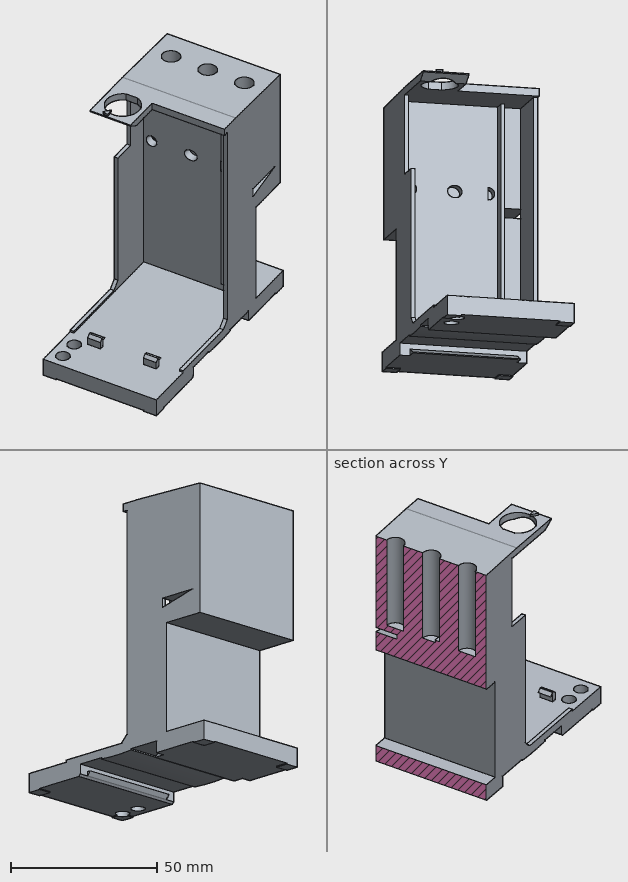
import cadquery as cq

width = 45.0
length = 85.0
height = 94.1

base_top = 6.9
foot_size = 5.1
foot_height = 0.4
wire_hole_diameter = 5.0
wire_hole_x = 4.9
wire_hole_ys = (5.0, 12.5)

slot_front = 24.9
slot_rear = 61.8
slot_roof = 4.6
slot_chamfer = 0.75
hook_inset = 3.5
hook_top = 2.7
rear_hook_reach = 4.1
rear_hook_lip = 0.4
front_hook_reach = 1.2
spring_front = 35.1
spring_rear = 49.6
spring_edge = 0.5
spring_drop = 0.75

column_front = 47.5
column_rear = 66.7
head_rear = 83.0
head_bottom = 45.9
deck_top = 93.3
head_slope_start = 53.1
head_slope_drop = 0.8
back_wall_front = 64.7
wall = 1.5

deck_bottom = 90.5
deck_front = 45.6
tab_front = 31.2
tab_width = 16.2
tab_lip = 0.5
tab_chamfer_length = 3.9
dial_diameter = 12.7
dial_x = 8.1
dial_y = 39.7
marker_corners = ((4.7, 32.0), (7.0, 31.5), (6.7, 34.4))

left_notch_rear = 56.0
left_notch_bottom = 62.7
curb_top = 7.6
curb_front = 18.0
curb_chamfer = 2.6

partition_x = 35.3
partition_thickness = 1.2
partition_front = 59.8
partition_bottom = 13.7
side_slot_bottom = 51.85
side_slot_top = 55.1
side_slot_depth = 14.6

well_diameter = 6.7
well_y = 72.3
well_xs = (7.9, 22.5, 37.1)
opening_z = 59.9
opening_height = 4.3
opening_depth = 3.3
left_opening_x = 4.6
left_opening_width = 4.1
middle_opening_x = 20.2
middle_opening_width = 5.1
right_opening_x = 32.0
right_opening_width = 4.7
well_floor = opening_z - opening_height / 2
ledge_edge_x = 20.9
ledge_height = 0.9

latch_width = 5.1
latch_xs = (8.75, 31.0)
latch_front = 15.0
latch_stem = 1.9
latch_shoulder = 9.6
latch_top = 10.7
latch_hook = 1.3


def block(x0, x1, y0, y1, z0, z1):
    """Box between two opposite corners."""
    return cq.Workplane("XY").box(x1 - x0, y1 - y0, z1 - z0, centered=False).translate((x0, y0, z0))


def extrude_x(profile, x0, x1):
    """Extrude a closed (y, z) outline from x0 to x1."""
    return cq.Workplane("YZ", origin=(x0, 0, 0)).polyline(profile).close().extrude(x1 - x0)


def vertical_hole(x, y, diameter, z0, z1):
    return cq.Workplane("XY", origin=(x, y, z0)).circle(diameter / 2).extrude(z1 - z0)


def make_base():
    base = block(0, width, 0, length, foot_height, base_top)
    for x in (0, width - foot_size):
        for y in (0, length - foot_size):
            base = base.union(block(x, x + foot_size, y, y + foot_size, 0, base_top))
    slot = extrude_x(
        [
            (slot_front - slot_chamfer, foot_height),
            (slot_front, foot_height + slot_chamfer),
            (slot_front, slot_roof),
            (slot_rear, slot_roof),
            (slot_rear, foot_height),
        ],
        0,
        width,
    )
    base = base.cut(slot)
    for y in wire_hole_ys:
        base = base.cut(vertical_hole(wire_hole_x, y, wire_hole_diameter, 0, base_top))
    return base


def make_rail_hooks():
    rear_tip = slot_rear - rear_hook_reach
    rear_hook = [
        (slot_rear, foot_height),
        (rear_tip, foot_height),
        (rear_tip, foot_height + rear_hook_lip),
        (slot_rear, hook_top),
    ]
    front_hook = [
        (slot_front, foot_height + slot_chamfer),
        (slot_front + front_hook_reach, hook_top),
        (slot_front, hook_top),
    ]
    hooks = extrude_x(rear_hook, hook_inset, width - hook_inset)
    return hooks.union(extrude_x(front_hook, hook_inset, width - hook_inset))


def make_rail_spring():
    """Shallow bow on the roof of the rail slot."""
    middle = (spring_front + spring_rear) / 2
    return (
        cq.Workplane("YZ")
        .moveTo(spring_front, slot_roof)
        .lineTo(spring_front, slot_roof - spring_edge)
        .threePointArc((middle, slot_roof - spring_drop), (spring_rear, slot_roof - spring_edge))
        .lineTo(spring_rear, slot_roof)
        .close()
        .extrude(width)
    )


def make_tower():
    """Column, head and deck as one side outline, hollowed by the front bay."""
    tower = extrude_x(
        [
            (column_front, slot_roof),
            (column_rear, slot_roof),
            (column_rear, head_bottom),
            (head_rear, head_bottom),
            (head_rear, deck_top - head_slope_drop),
            (head_slope_start, deck_top),
            (deck_front, deck_top),
            (deck_front, deck_bottom),
            (column_front, deck_bottom),
        ],
        0,
        width,
    )
    bay = block(wall, width - wall, column_front, back_wall_front, base_top, deck_bottom)
    notch = block(0, wall, column_front, left_notch_rear, left_notch_bottom, deck_bottom)
    return tower.cut(bay).cut(notch)


def make_curb(x):
    """Low rib along the base edge, chamfered into the side wall."""
    profile = [
        (column_front, base_top),
        (column_front, curb_top + curb_chamfer),
        (column_front - curb_chamfer, curb_top),
        (curb_front, curb_top),
        (curb_front, base_top),
    ]
    return extrude_x(profile, x, x + wall)


def make_dial_tab():
    tab = extrude_x(
        [
            (deck_front, deck_top),
            (tab_front, deck_top),
            (tab_front, deck_top - tab_lip),
            (tab_front + tab_chamfer_length, deck_bottom),
            (deck_front, deck_bottom),
        ],
        0,
        tab_width,
    )
    tab = tab.cut(vertical_hole(dial_x, dial_y, dial_diameter, deck_bottom, deck_top))
    marker = (
        cq.Workplane("XY", origin=(0, 0, deck_top))
        .polyline(marker_corners)
        .close()
        .extrude(height - deck_top)
    )
    return tab.union(marker)


def make_partition():
    return block(
        partition_x,
        partition_x + partition_thickness,
        partition_front,
        back_wall_front,
        partition_bottom,
        deck_bottom,
    )


def make_side_slot():
    """Slot with a rising floor that leaves through the right side of the head."""
    profile = [
        (back_wall_front, side_slot_bottom),
        (back_wall_front + side_slot_depth, side_slot_top),
        (back_wall_front, side_slot_top),
    ]
    return extrude_x(profile, partition_x + partition_thickness, width)


def make_opening(x, opening_width):
    """Blind elliptical hole in the back wall of the bay."""
    return (
        cq.Workplane("XZ", origin=(x, back_wall_front, opening_z))
        .ellipse(opening_width / 2, opening_height / 2)
        .extrude(-opening_depth)
    )


def make_wells():
    wells = cq.Workplane("XY")
    for x in well_xs:
        wells = wells.union(vertical_hole(x, well_y, well_diameter, well_floor, deck_top))
    ledge = block(
        ledge_edge_x - well_diameter,
        ledge_edge_x,
        well_y - well_diameter,
        well_y + well_diameter,
        well_floor,
        well_floor + ledge_height,
    )
    return wells.cut(ledge)


def make_openings():
    """Two full openings and, on the right, only the right half of a third one."""
    left = make_opening(left_opening_x, left_opening_width)
    middle = make_opening(middle_opening_x, middle_opening_width)
    right = make_opening(right_opening_x, right_opening_width)
    right_half = block(
        right_opening_x,
        right_opening_x + right_opening_width,
        back_wall_front,
        back_wall_front + opening_depth,
        opening_z - opening_height,
        opening_z + opening_height,
    )
    return left.union(middle).union(right.intersect(right_half))


def make_latch(x):
    """Upright snap latch with its hook pointing to the rear."""
    stem_rear = latch_front + latch_stem
    bevel = latch_top - latch_shoulder
    profile = [
        (latch_front, base_top),
        (latch_front, latch_shoulder),
        (latch_front + bevel, latch_top),
        (stem_rear, latch_top),
        (stem_rear + latch_hook, latch_shoulder),
        (stem_rear, latch_shoulder),
        (stem_rear, base_top),
    ]
    return extrude_x(profile, x, x + latch_width)


result = make_base().union(make_tower()).union(make_dial_tab()).union(make_partition())
result = result.union(make_rail_hooks()).union(make_rail_spring())
for curb_x in (0, width - wall):
    result = result.union(make_curb(curb_x))
for latch_x in latch_xs:
    result = result.union(make_latch(latch_x))
result = result.cut(make_side_slot()).cut(make_wells()).cut(make_openings())